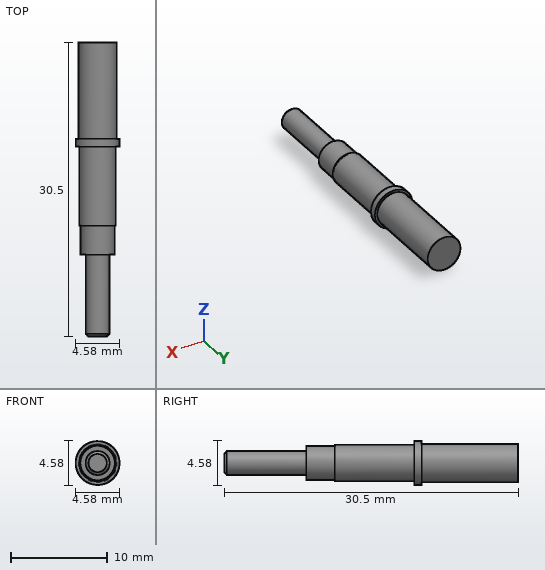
import cadquery as cq

total_length = 30.5

pin_length = 8.5
nose_length = 3.0
body_length = 8.2
flange_length = 0.8
rear_length = total_length - pin_length - nose_length - body_length - flange_length

pin_diameter = 2.5
nose_diameter = 3.57
body_diameter = 3.8
flange_diameter = 4.58
rear_diameter = 4.0

tip_chamfer = 0.3

sections = [
    (pin_diameter, pin_length),
    (nose_diameter, nose_length),
    (body_diameter, body_length),
    (flange_diameter, flange_length),
    (rear_diameter, rear_length),
]


def stepped_shaft():
    """Stack coaxial cylinders along +Y, starting at the pin tip."""
    shaft = cq.Workplane("XY")
    start = -total_length / 2
    for diameter, length in sections:
        cylinder = cq.Workplane("XZ", origin=(0, start, 0)).circle(diameter / 2).extrude(-length)
        shaft = shaft.add(cylinder)
        start += length
    return shaft.combine()


result = stepped_shaft().faces("<Y").edges().chamfer(tip_chamfer)